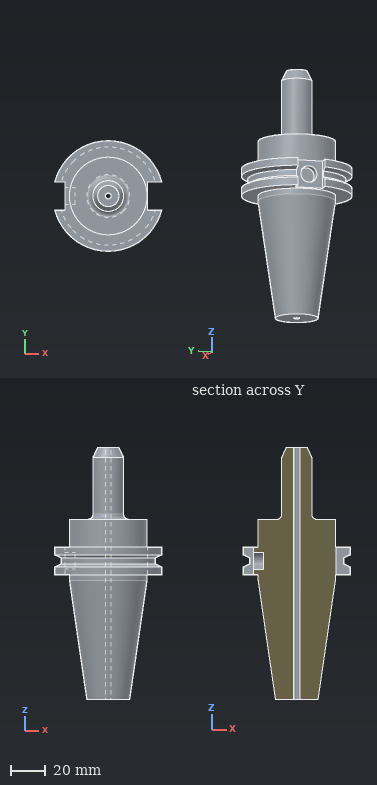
import cadquery as cq

TOTAL_HEIGHT = 144.5
TAPER_HEIGHT = 68.2
FLANGE_BOTTOM = 71.5
FLANGE_THICKNESS = 15.9
BODY_TOP = 103.3
TIP_HEIGHT = 5.8

BODY_RADIUS = 22.2
TAPER_RATIO = 7 / 24
FLANGE_RADIUS = 63.4 / 2
SHANK_RADIUS = 8.8
SHANK_FILLET = 2.9
TIP_RADIUS = 6.0
BORE_RADIUS = 1.6

GROOVE_RADIUS = 28.2
GROOVE_FLOOR_WIDTH = 3.5
GROOVE_MOUTH_WIDTH = 7.0

SLOT_WIDTH = 16.0
LEFT_SLOT_FLOOR = 24.8
RIGHT_SLOT_FLOOR = 22.5
HOLE_RADIUS = 4.8
HOLE_DEPTH = 5.8

flange_top = FLANGE_BOTTOM + FLANGE_THICKNESS
flange_middle = FLANGE_BOTTOM + FLANGE_THICKNESS / 2
small_end_radius = BODY_RADIUS - TAPER_HEIGHT * TAPER_RATIO / 2


def turned_body():
    """Half-profile of taper, flange, body and shank, revolved about Z."""
    fillet_sag = SHANK_FILLET * (1 - 0.5 ** 0.5)
    profile = (
        cq.Workplane("XZ")
        .lineTo(small_end_radius, 0)
        .lineTo(BODY_RADIUS, TAPER_HEIGHT)
        .lineTo(BODY_RADIUS, FLANGE_BOTTOM)
        .lineTo(FLANGE_RADIUS, FLANGE_BOTTOM)
        .lineTo(FLANGE_RADIUS, flange_middle - GROOVE_MOUTH_WIDTH / 2)
        .lineTo(GROOVE_RADIUS, flange_middle - GROOVE_FLOOR_WIDTH / 2)
        .lineTo(GROOVE_RADIUS, flange_middle + GROOVE_FLOOR_WIDTH / 2)
        .lineTo(FLANGE_RADIUS, flange_middle + GROOVE_MOUTH_WIDTH / 2)
        .lineTo(FLANGE_RADIUS, flange_top)
        .lineTo(BODY_RADIUS, flange_top)
        .lineTo(BODY_RADIUS, BODY_TOP)
        .lineTo(SHANK_RADIUS + SHANK_FILLET, BODY_TOP)
        .threePointArc(
            (SHANK_RADIUS + fillet_sag, BODY_TOP + fillet_sag),
            (SHANK_RADIUS, BODY_TOP + SHANK_FILLET),
        )
        .lineTo(SHANK_RADIUS, TOTAL_HEIGHT - TIP_HEIGHT)
        .lineTo(TIP_RADIUS, TOTAL_HEIGHT)
        .lineTo(0, TOTAL_HEIGHT)
        .close()
    )
    return profile.revolve(360, (0, 0, 0), (0, 1, 0))


def drive_slot(side, floor):
    """Cutter for a slot through the flange; side is -1 for -X and 1 for +X."""
    return (
        cq.Workplane("XY", origin=(side * (floor + FLANGE_RADIUS / 2), 0, FLANGE_BOTTOM))
        .box(FLANGE_RADIUS, SLOT_WIDTH, FLANGE_THICKNESS, centered=(True, True, False))
    )


def slot_hole():
    """Cutter for the blind hole in the floor of the -X slot."""
    return (
        cq.Workplane("YZ", origin=(-LEFT_SLOT_FLOOR, 0, flange_middle))
        .circle(HOLE_RADIUS)
        .extrude(HOLE_DEPTH)
    )


def center_bore():
    """Cutter for the coolant bore along the whole axis."""
    return cq.Workplane("XY").circle(BORE_RADIUS).extrude(TOTAL_HEIGHT)


result = (
    turned_body()
    .cut(drive_slot(-1, LEFT_SLOT_FLOOR))
    .cut(drive_slot(1, RIGHT_SLOT_FLOOR))
    .cut(slot_hole())
    .cut(center_bore())
)